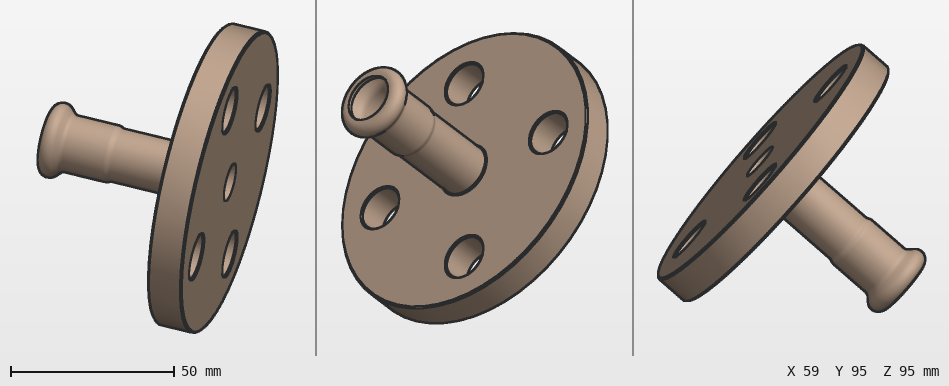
import cadquery as cq
import math

total_length = 59.0
flange_diameter = 95.0
flange_thickness = 10.9
edge_chamfer = 0.5
bolt_hole_diameter = 14.0
bolt_hole_chamfer = 0.5
bolt_circle_diameter = 65.0
bolt_count = 4

tube_radius = 16.8 / 2
tube_bore_radius = 11.9 / 2
weld_chamfer = 0.4
socket_radius = 18.0 / 2
socket_bore_radius = 7.6
socket_end = 20.9
step_length = 2.3

bead_radius = 3.0
bead_center_radius = 8.7
neck_fillet = 2.1

wall = socket_radius - socket_bore_radius
flange_start = total_length - flange_thickness
overshoot = 0.95
up = math.radians(90)
slope = up / 2
half_slope = slope / 2

neck_center_radius = socket_radius + neck_fillet
neck_end = (
    bead_radius
    + bead_center_radius
    - neck_center_radius
    + (bead_radius + neck_fillet) / math.sin(slope)
)


def arc_point(center, radius, angle):
    """Point on a circle in the (axial, radial) plane."""
    return (center[0] + radius * math.cos(angle), center[1] + radius * math.sin(angle))


def add_bead_wall(profile, bead_arc, neck_arc):
    """Continue a profile over the bead, down its cone and round the neck."""
    bead_center = (bead_radius, bead_center_radius)
    neck_center = (neck_end, neck_center_radius)
    return (
        profile.threePointArc(
            arc_point(bead_center, bead_arc, up + half_slope),
            arc_point(bead_center, bead_arc, slope),
        )
        .lineTo(*arc_point(neck_center, neck_arc, -up - slope))
        .threePointArc(
            arc_point(neck_center, neck_arc, -up - half_slope),
            arc_point(neck_center, neck_arc, -up),
        )
    )


def revolve_about_x(profile):
    return profile.close().revolve(360, (0, 0, 0), (1, 0, 0))


def make_outer_body():
    step_middle = (socket_end + step_length / 2, (socket_radius + tube_radius) / 2)
    step_end = (socket_end + step_length, tube_radius)

    profile = cq.Workplane("XY").lineTo(0, bead_center_radius)
    profile = add_bead_wall(profile, bead_radius, neck_fillet)
    profile = (
        profile.lineTo(socket_end, socket_radius)
        .tangentArcPoint(step_middle, relative=False)
        .tangentArcPoint(step_end, relative=False)
        .lineTo(flange_start - weld_chamfer, tube_radius)
        .lineTo(flange_start, tube_radius + weld_chamfer)
        .lineTo(flange_start, flange_diameter / 2 - edge_chamfer)
        .lineTo(flange_start + edge_chamfer, flange_diameter / 2)
        .lineTo(total_length - edge_chamfer, flange_diameter / 2)
        .lineTo(total_length, flange_diameter / 2 - edge_chamfer)
        .lineTo(total_length, 0)
    )
    return revolve_about_x(profile)


def make_cavity():
    """Mouth, hollow bead, socket bore and narrower through bore."""
    profile = (
        cq.Workplane("XY")
        .moveTo(-overshoot, 0)
        .lineTo(-overshoot, socket_bore_radius)
        .lineTo(wall, socket_bore_radius)
        .lineTo(wall, bead_center_radius)
    )
    profile = add_bead_wall(profile, bead_radius - wall, neck_fillet + wall)
    profile = (
        profile.lineTo(socket_end, socket_bore_radius)
        .lineTo(socket_end, tube_bore_radius)
        .lineTo(total_length + overshoot, tube_bore_radius)
        .lineTo(total_length + overshoot, 0)
    )
    return revolve_about_x(profile)


def make_bolt_hole():
    """Cutter for one hole, chamfered at both faces of the flange."""
    hole_radius = bolt_hole_diameter / 2
    mouth_radius = hole_radius + bolt_hole_chamfer
    profile = (
        cq.Workplane("XY")
        .moveTo(flange_start, 0)
        .lineTo(flange_start, mouth_radius)
        .lineTo(flange_start + bolt_hole_chamfer, hole_radius)
        .lineTo(total_length - bolt_hole_chamfer, hole_radius)
        .lineTo(total_length, mouth_radius)
        .lineTo(total_length, 0)
    )
    return revolve_about_x(profile).translate((0, 0, bolt_circle_diameter / 2))


result = make_outer_body().cut(make_cavity())
bolt_hole = make_bolt_hole()
for index in range(bolt_count):
    angle = index * 360 / bolt_count
    result = result.cut(bolt_hole.rotate((0, 0, 0), (1, 0, 0), angle))